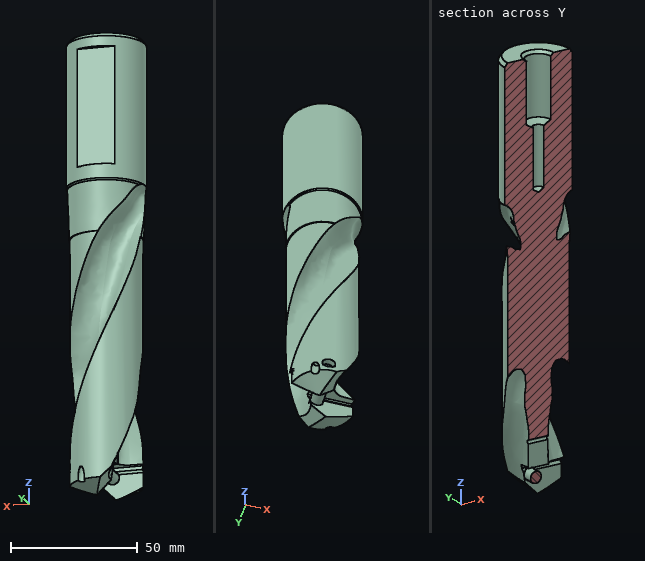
import cadquery as cq
import math

total_length = 187.1

shank_diameter = 31.8
shank_bottom = 126.3
shank_chamfer_height = 1.7
shank_chamfer_width = 1.3
shoulder_height = 0.7
flat_distance = 13.8
flat_bottom = 132.8
flat_top = 181.3

inlet_diameter = 11.2
inlet_chamfer = 1.3
inlet_depth = 28.0
feed_diameter = 4.9
feed_depth = 56.1
drill_point_angle = 118.0

neck_top_diameter = 31.0
neck_bottom_diameter = 29.5
neck_bottom = 105.7
body_diameter = 29.0
point_slope = 25.0

flute_count = 2
flute_lead = 203.5
flute_phase = -11.6
flute_width = 83.5
flute_tip_width = 68.0
widening_bottom = 35.5
widening_top = 52.4
core_radius = 4.1
core_direction = -48.0
core_tip_radius = 6.2
core_tip_direction = -55.0
wall_hollow = 1.9
wall_tip_hollow = 0.5
hook_radius = 9.4
hook_direction = 5.0
cutter_radius = 22.5
runout_bottom = 101.0
runout_length = 26.2
runout_lift = 12.3
runout_exponent = 1.5
runout_direction = -24.0
section_spacing = 7.5

slot_width = 9.2
slot_top = 13.5
relief_width = 10.5
relief_bottom = 12.0
relief_taper_bottom = 10.5
slit_width = 0.5
slit_top = 24.7
slit_hole_diameter = 1.7
jaw_cut_angle = 45.0
jaw_cut_offset = 2.5
jaw_cut_height = 11.5

outlet_diameter = 3.4
outlet_point = (-6.2, -12.3, 6.7)
outlet_tilt = 20.0
outlet_depth = 9.4

screw_diameter = 5.2
screw_x = -1.22
screw_z = 9.2
screw_start = -12.3
screw_end = 11.2
screw_chamfer = 0.5

shank_radius = shank_diameter / 2
body_radius = body_diameter / 2
tip_radius = math.hypot(slot_width / 2, jaw_cut_offset)
point_tangent = math.tan(math.radians(point_slope))
point_height = (body_radius - tip_radius) * point_tangent
apex_z = -tip_radius * point_tangent
overshoot = 9.4


def polar(radius, degrees):
    angle = math.radians(degrees)
    return cq.Vector(radius * math.cos(angle), radius * math.sin(angle), 0)


def between(start, end, fraction):
    return start + fraction * (end - start)


def turned_blank():
    """Shank, neck and body with a conical point, as one turned profile."""
    return (
        cq.Workplane("XZ")
        .moveTo(0, apex_z)
        .lineTo(body_radius, point_height)
        .lineTo(body_radius, neck_bottom)
        .lineTo(neck_bottom_diameter / 2, neck_bottom)
        .lineTo(neck_top_diameter / 2, shank_bottom)
        .lineTo(shank_radius, shank_bottom + shoulder_height)
        .lineTo(shank_radius, total_length - shank_chamfer_height)
        .lineTo(shank_radius - shank_chamfer_width, total_length)
        .lineTo(0, total_length)
        .close()
        .revolve(360, (0, 0, 0), (0, 1, 0))
    )


def shank_flat():
    height = flat_top - flat_bottom
    return (
        cq.Workplane("XY", origin=(0, flat_distance + overshoot / 2, flat_bottom))
        .box(2 * shank_radius, overshoot, height, centered=(True, True, False))
    )


def coolant_inlet():
    """Chamfered bore with a conical floor that leads into the narrower feed hole."""
    inlet_radius = inlet_diameter / 2
    feed_radius = feed_diameter / 2
    point_ratio = math.tan(math.radians(drill_point_angle / 2))
    floor_z = total_length - inlet_depth
    feed_z = total_length - feed_depth
    return (
        cq.Workplane("XZ")
        .moveTo(0, total_length)
        .lineTo(inlet_radius + inlet_chamfer, total_length)
        .lineTo(inlet_radius, total_length - inlet_chamfer)
        .lineTo(inlet_radius, floor_z)
        .lineTo(feed_radius, floor_z - (inlet_radius - feed_radius) / point_ratio)
        .lineTo(feed_radius, feed_z)
        .lineTo(0, feed_z - feed_radius / point_ratio)
        .close()
        .revolve(360, (0, 0, 0), (0, 1, 0))
    )


def flute_section(z):
    """Closed cutter outline at height z: trailing strip, hollow down to the core and leading wall."""
    widening = (z - widening_bottom) / (widening_top - widening_bottom)
    widening = min(max(widening, 0), 1)
    width = between(flute_tip_width, flute_width, widening)
    core = polar(
        between(core_tip_radius, core_radius, widening),
        between(core_tip_direction, core_direction, widening),
    )
    run = max(z - runout_bottom, 0) / runout_length
    lift = polar(runout_lift * run ** runout_exponent, runout_direction)

    trailing_edge = polar(body_radius, 0)
    hook = polar(hook_radius, hook_direction)
    leading_edge = polar(body_radius, -width)
    wall = leading_edge - core
    wall_normal = cq.Vector(wall.y, -wall.x, 0).normalized()
    hollow_depth = between(wall_tip_hollow, wall_hollow, widening)
    wall_middle = core + wall * 0.5 + wall_normal * hollow_depth
    trailing_outer = polar(cutter_radius, 0)
    middle_outer = polar(cutter_radius, -width / 2)
    leading_outer = polar(cutter_radius, -width)

    strip = cq.Edge.makeLine(trailing_edge, hook)
    hollow = cq.Edge.makeTangentArc(hook, strip.tangentAt(1), core)
    edges = [
        cq.Edge.makeLine(trailing_outer, trailing_edge),
        strip,
        hollow,
        cq.Edge.makeThreePointArc(core, wall_middle, leading_edge),
        cq.Edge.makeLine(leading_edge, leading_outer),
        cq.Edge.makeThreePointArc(leading_outer, middle_outer, trailing_outer),
    ]
    twist = flute_phase + 360 * z / flute_lead
    outline = cq.Wire.assembleEdges(edges).translate(lift)
    turned = outline.rotate(cq.Vector(0, 0, 0), cq.Vector(0, 0, 1), twist)
    return turned.translate(cq.Vector(0, 0, z))


def flute_cutter():
    """Loft through the turned sections; it rises out of the core along the run-out."""
    bottom = -section_spacing
    top = runout_bottom + runout_length
    steps = round((top - bottom) / section_spacing)
    heights = [bottom + (top - bottom) * i / steps for i in range(steps + 1)]
    return cq.Workplane(cq.Solid.makeLoft([flute_section(z) for z in heights]))


def insert_slot():
    """Slot along X with a wider tapered relief at its floor, plus the thin slit and its end hole."""
    length = 2 * shank_diameter
    half_slot = slot_width / 2
    half_relief = relief_width / 2
    slot = (
        cq.Workplane("YZ")
        .moveTo(half_slot, -overshoot)
        .lineTo(half_slot, relief_taper_bottom)
        .lineTo(half_relief, relief_bottom)
        .lineTo(half_relief, slot_top)
        .lineTo(-half_relief, slot_top)
        .lineTo(-half_relief, relief_bottom)
        .lineTo(-half_slot, relief_taper_bottom)
        .lineTo(-half_slot, -overshoot)
        .close()
        .extrude(length / 2, both=True)
    )
    slit = cq.Workplane("XY").box(length, slit_width, 2 * slit_top)
    end_hole = (
        cq.Workplane("YZ")
        .center(0, slit_top)
        .circle(slit_hole_diameter / 2)
        .extrude(length / 2, both=True)
    )
    return slot.union(slit).union(end_hole)


def jaw_cut():
    """Sloping plane that trims the -X side of the rear jaw."""
    run = 1 / math.tan(math.radians(jaw_cut_angle))
    return (
        cq.Workplane("XZ")
        .moveTo(jaw_cut_offset + overshoot * run, -overshoot)
        .lineTo(jaw_cut_offset - jaw_cut_height * run, jaw_cut_height)
        .lineTo(-shank_radius, jaw_cut_height)
        .lineTo(-shank_radius, -overshoot)
        .close()
        .extrude(-shank_radius)
    )


def coolant_outlet():
    """Steep blind hole that breaks out through the land at the point."""
    x, y, z = outlet_point
    radial = cq.Vector(x, y, 0).normalized()
    tilt = math.radians(outlet_tilt)
    inward = radial * -math.sin(tilt) + cq.Vector(0, 0, math.cos(tilt))
    start = cq.Vector(x, y, z) - inward * overshoot
    return cq.Workplane(
        cq.Solid.makeCylinder(outlet_diameter / 2, overshoot + outlet_depth, start, inward)
    )


def screw_cylinder(start):
    """Cylinder along Y from the start to the blind end inside the rear jaw."""
    return (
        cq.Workplane("XZ", origin=(screw_x, start, screw_z))
        .circle(screw_diameter / 2)
        .extrude(start - screw_end)
    )


def drill_body():
    body = turned_blank().cut(shank_flat()).cut(coolant_inlet())
    cutters = [flute_cutter(), jaw_cut(), coolant_outlet()]
    for i in range(flute_count):
        for cutter in cutters:
            body = body.cut(cutter.rotate((0, 0, 0), (0, 0, 1), 360 * i / flute_count))
    return body.cut(insert_slot()).cut(screw_cylinder(-shank_radius))


def clamping_screw():
    return screw_cylinder(screw_start).faces("<Y").chamfer(screw_chamfer)


drill = drill_body()
screw = clamping_screw()
result = cq.Compound.makeCompound([drill.solids().val(), screw.val()])